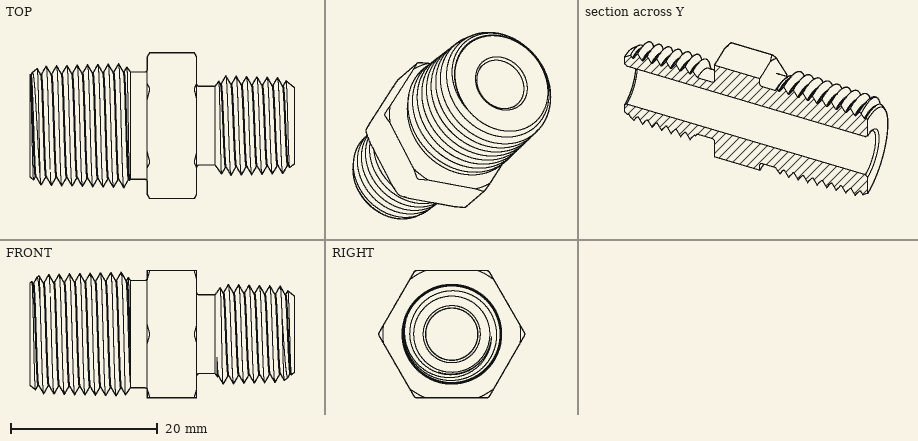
import cadquery as cq
import math

LENGTH = 36.1
BORE_DIA = 7.1
BORE_CHAMFER = 0.35

HEX_START = 16.0
HEX_WIDTH = 6.75
HEX_END = HEX_START + HEX_WIDTH
HEX_FLATS = 17.4
HEX_HALF_SECTOR = math.radians(30)
HEX_EDGE_FILLET = 0.5
HEX_FACE_RADIUS = 9.4
HEX_CHAMFER_ANGLE = math.radians(30)

LARGE_NECK_RADIUS = 7.33
SMALL_NECK_RADIUS = 5.38
NECK_FILLET = 0.35

PITCH = 25.4 / 18
FLANK_ANGLE = math.radians(30)
THREAD_DEPTH = 1.1
TAPER = 1 / 32
RIDGE_OVERLAP = 0.1
LEAD_IN_TURNS = 2
LEAD_CHAMFER_SLOPE = 0.8
RUNOUT_SLOPE = 1.4

LARGE_THREAD_LENGTH = 13.72
LARGE_CREST_RADIUS = 8.08
LARGE_FACE_RADIUS = 7.0
LARGE_FIRST_CREST = 0.46

SMALL_THREAD_LENGTH = 10.84
SMALL_CREST_RADIUS = 6.52
SMALL_FACE_RADIUS = 5.2
SMALL_FIRST_CREST = 1.27


def revolve_about_x(points):
    """Solid of revolution from (x, radius) points."""
    return cq.Workplane("XY").polyline(points).close().revolve(360, (0, 0, 0), (1, 0, 0))


def thread_envelope(length, crest_radius, face_radius, neck_radius):
    """Cone through the crests, chamfered at the free end and at the runout into the neck."""
    lead_end = (crest_radius - face_radius) / (LEAD_CHAMFER_SLOPE - TAPER)
    crest_at_neck = crest_radius + TAPER * length
    runout = (crest_at_neck - neck_radius) / (RUNOUT_SLOPE + TAPER)
    runout_start = length - runout
    return revolve_about_x([
        (0, 0),
        (0, face_radius),
        (lead_end, crest_radius + TAPER * lead_end),
        (runout_start, crest_radius + TAPER * runout_start),
        (length, neck_radius),
        (length, 0),
    ])


def thread_ridge(length, crest_radius, first_crest):
    """Right-handed helical V ridge that overruns both ends of the thread."""
    start = first_crest - LEAD_IN_TURNS * PITCH
    height = length + PITCH - start
    root = crest_radius - THREAD_DEPTH + TAPER * start
    base = root - RIDGE_OVERLAP
    half_width = (THREAD_DEPTH + RIDGE_OVERLAP) * math.tan(FLANK_ANGLE)
    helix = cq.Wire.makeHelix(PITCH, height, root, angle=math.degrees(math.atan(TAPER)))
    ridge = (
        cq.Workplane("XZ")
        .polyline([(base, -half_width), (root + THREAD_DEPTH, 0), (base, half_width)])
        .close()
        .sweep(cq.Workplane(helix), isFrenet=True)
    )
    return ridge.rotate((0, 0, 0), (0, 1, 0), 90).translate((start, 0, 0))


def tapered_thread(length, crest_radius, face_radius, neck_radius, first_crest):
    """Thread with its free end at x = 0, growing toward +X."""
    root_radius = crest_radius - THREAD_DEPTH
    core = revolve_about_x([
        (0, 0),
        (0, root_radius),
        (length, root_radius + TAPER * length),
        (length, 0),
    ])
    envelope = thread_envelope(length, crest_radius, face_radius, neck_radius)
    ridge = thread_ridge(length, crest_radius, first_crest)
    return core.intersect(envelope).union(ridge.intersect(envelope))


def hexagon():
    """Hexagon with flats at +Z and -Z, rounded long edges and conical end chamfers."""
    hex_corners_dia = HEX_FLATS / math.cos(HEX_HALF_SECTOR)
    prism = (
        cq.Workplane("YZ", origin=(HEX_START, 0, 0))
        .polygon(6, hex_corners_dia)
        .extrude(HEX_WIDTH)
        .edges("|X")
        .fillet(HEX_EDGE_FILLET)
    )
    outer_radius = hex_corners_dia / 2
    chamfer_depth = (outer_radius - HEX_FACE_RADIUS) * math.tan(HEX_CHAMFER_ANGLE)
    limit = revolve_about_x([
        (HEX_START, 0),
        (HEX_START, HEX_FACE_RADIUS),
        (HEX_START + chamfer_depth, outer_radius),
        (HEX_END - chamfer_depth, outer_radius),
        (HEX_END, HEX_FACE_RADIUS),
        (HEX_END, 0),
    ])
    return prism.intersect(limit)


def neck(hex_face, thread_end, radius):
    """Plain cylinder with a concave fillet where it meets the hexagon face."""
    toward_thread = math.copysign(NECK_FILLET, thread_end - hex_face)
    fillet_end = hex_face + toward_thread
    fillet_top = radius + NECK_FILLET
    diagonal = 1 - math.sqrt(0.5)
    fillet_middle = (hex_face + diagonal * toward_thread, radius + diagonal * NECK_FILLET)
    return (
        cq.Workplane("XY")
        .moveTo(hex_face, 0)
        .lineTo(hex_face, fillet_top)
        .threePointArc(fillet_middle, (fillet_end, radius))
        .lineTo(thread_end, radius)
        .lineTo(thread_end, 0)
        .close()
        .revolve(360, (0, 0, 0), (1, 0, 0))
    )


def bore():
    """Through hole with a chamfered mouth at each end."""
    radius = BORE_DIA / 2
    mouth = radius + BORE_CHAMFER
    return revolve_about_x([
        (0, 0),
        (0, mouth),
        (BORE_CHAMFER, radius),
        (LENGTH - BORE_CHAMFER, radius),
        (LENGTH, mouth),
        (LENGTH, 0),
    ])


large_thread = tapered_thread(
    LARGE_THREAD_LENGTH, LARGE_CREST_RADIUS, LARGE_FACE_RADIUS, LARGE_NECK_RADIUS, LARGE_FIRST_CREST
)
small_thread = tapered_thread(
    SMALL_THREAD_LENGTH, SMALL_CREST_RADIUS, SMALL_FACE_RADIUS, SMALL_NECK_RADIUS, SMALL_FIRST_CREST
)
small_thread = small_thread.rotate((0, 0, 0), (0, 0, 1), 180).translate((LENGTH, 0, 0))

result = (
    hexagon()
    .union(neck(HEX_START, LARGE_THREAD_LENGTH, LARGE_NECK_RADIUS))
    .union(neck(HEX_END, LENGTH - SMALL_THREAD_LENGTH, SMALL_NECK_RADIUS))
    .union(large_thread)
    .union(small_thread)
    .cut(bore())
)